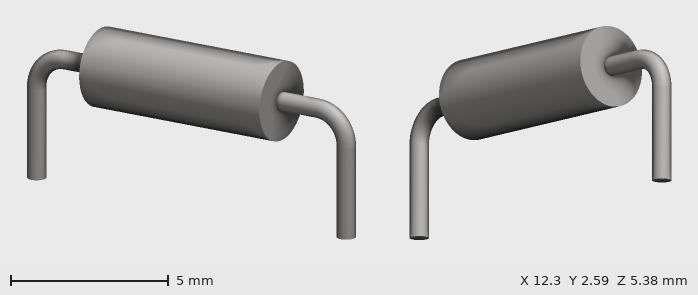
import cadquery as cq

overall_length = 12.29
body_length = 6.8
body_diameter = 2.59
overall_height = 5.38
lead_diameter = 0.61
bend_radius = 1.07

body_end_x = body_length / 2
leg_x = (overall_length - lead_diameter) / 2
leg_bottom_z = body_diameter / 2 - overall_height


def make_body():
    """Plain cylinder along X, centred on the origin."""
    return (
        cq.Workplane("YZ")
        .workplane(offset=-body_end_x)
        .circle(body_diameter / 2)
        .extrude(body_length)
    )


def make_lead(side):
    """Round wire from one body end face, bent down; side is -1 or +1 along X."""
    bend_start_x = leg_x - bend_radius
    path = (
        cq.Workplane("XZ")
        .moveTo(side * body_end_x, 0)
        .lineTo(side * bend_start_x, 0)
        .tangentArcPoint((side * leg_x, -bend_radius), relative=False)
        .lineTo(side * leg_x, leg_bottom_z)
    )
    return (
        cq.Workplane("YZ", origin=(side * body_end_x, 0, 0))
        .circle(lead_diameter / 2)
        .sweep(path)
    )


body = make_body()
leads = [make_lead(side) for side in (-1, 1)]

result = cq.Compound.makeCompound([body.val(), *[lead.val() for lead in leads]])